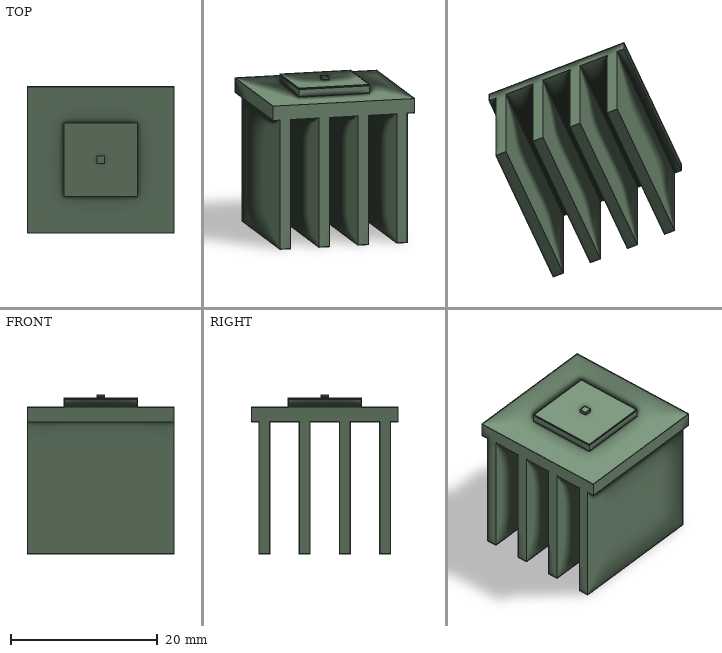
import cadquery as cq

base_side = 20.0
base_thickness = 2.0
fin_count = 4
fin_thickness = 1.5
fin_height = 18.0
fin_edge_inset = 1.0
fin_pitch = (base_side - 2 * fin_edge_inset - fin_thickness) / (fin_count - 1)
first_fin_y = -base_side / 2 + fin_edge_inset + fin_thickness / 2

substrate_side = 10.0
interface_pad_thickness = 0.05
core_plate_thickness = 1.0
lower_film_thickness = 0.07
upper_film_thickness = 0.13

chip_side = 1.0
solder_thickness = 0.05
chip_thickness = 0.375
chip_coating_thickness = 0.015

base_bottom = fin_height
interface_pad_bottom = base_bottom + base_thickness
core_plate_bottom = interface_pad_bottom + interface_pad_thickness
lower_film_bottom = core_plate_bottom + core_plate_thickness
upper_film_bottom = lower_film_bottom + lower_film_thickness
solder_bottom = upper_film_bottom + upper_film_thickness
chip_bottom = solder_bottom + solder_thickness
chip_coating_bottom = chip_bottom + chip_thickness


def square_plate(side, thickness, bottom):
    """A square plate centred on the Z axis, with its underside at the given level."""
    return cq.Workplane("XY").workplane(offset=bottom).rect(side, side).extrude(thickness)


def fin(y_center):
    """An upright fin running the full length of the base along X."""
    return cq.Workplane("XY").center(0, y_center).rect(base_side, fin_thickness).extrude(fin_height)


def finned_heat_sink():
    """The base plate and its evenly spaced fins, as one solid."""
    body = square_plate(base_side, base_thickness, base_bottom)
    for index in range(fin_count):
        body = body.union(fin(first_fin_y + index * fin_pitch))
    return body


heat_sink = finned_heat_sink()

interface_pad = square_plate(substrate_side, interface_pad_thickness, interface_pad_bottom)
core_plate = square_plate(substrate_side, core_plate_thickness, core_plate_bottom)
lower_film = square_plate(substrate_side, lower_film_thickness, lower_film_bottom)
upper_film = square_plate(substrate_side, upper_film_thickness, upper_film_bottom)

solder = square_plate(chip_side, solder_thickness, solder_bottom)
chip = square_plate(chip_side, chip_thickness, chip_bottom)
chip_coating = square_plate(chip_side, chip_coating_thickness, chip_coating_bottom)

result = cq.Compound.makeCompound([
    heat_sink.val(),
    interface_pad.val(),
    core_plate.val(),
    lower_film.val(),
    upper_film.val(),
    solder.val(),
    chip.val(),
    chip_coating.val(),
])